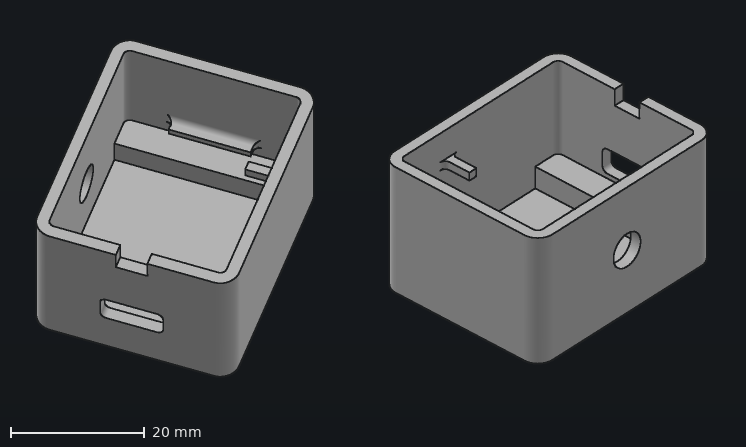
import cadquery as cq

width = 32.0
length = 39.0
height = 23.0
wall = 2.0
outer_radius = 3.0
inner_radius = 1.0
floor = 2.0
inner_width = width - 2 * wall
inner_length = length - 2 * wall

step_depth = 5.0
step_height = 3.98
step_top = floor + step_height

notch_width = 5.0
notch_depth = 3.0
slot_width = 10.0
slot_height = 4.5
slot_centre_z = 9.1
slot_radius = 1.0
side_hole_diameter = 6.0

root_radius = 1.0
ledge_width = 13.0
ledge_depth = 2.0
ledge_bottom = 8.0
ledge_thickness = 1.0
tab_length = 5.0
tab_width = 1.55
tab_thickness = 1.5
tab_centre_y = 6.75
tab_bottom = 16.22


def flared_outline(plane, root_width, reach):
    """Strip growing along local +Y, widened by a concave arc on each side of its root."""
    half = root_width / 2
    arc_offset = root_radius * (1 - 0.5 ** 0.5)
    return (
        plane.moveTo(-half - root_radius, 0)
        .threePointArc((-half - arc_offset, arc_offset), (-half, root_radius))
        .lineTo(-half, reach)
        .lineTo(half, reach)
        .lineTo(half, root_radius)
        .threePointArc((half + arc_offset, arc_offset), (half + root_radius, 0))
        .close()
    )


def make_shell():
    body = cq.Workplane("XY").box(width, length, height, centered=(True, True, False))
    body = body.edges("|Z").fillet(outer_radius)
    cavity = (
        cq.Workplane("XY", origin=(0, 0, floor))
        .box(inner_width, inner_length, height, centered=(True, True, False))
        .edges("|Z")
        .fillet(inner_radius)
    )
    step_gap = inner_length - 2 * step_depth
    channel = cq.Workplane("XY").box(width, step_gap, step_top, centered=(True, True, False))
    upper_space = cq.Workplane("XY", origin=(0, 0, step_top)).box(
        width, length, height, centered=(True, True, False)
    )
    return body.cut(cavity.intersect(channel.union(upper_space)))


def make_notch():
    return cq.Workplane("XY").box(notch_width, wall, 2 * notch_depth).translate(
        (0, (wall - length) / 2, height)
    )


def make_slot():
    return (
        cq.Workplane("XY")
        .box(slot_width, wall, slot_height)
        .edges("|Y")
        .fillet(slot_radius)
        .translate((0, (wall - length) / 2, slot_centre_z))
    )


def make_side_hole():
    return (
        cq.Workplane("YZ", origin=(-width / 2, 0, height / 2))
        .circle(side_hole_diameter / 2)
        .extrude(wall)
    )


def make_ledge():
    """Ledge on the rear wall, with its top and side root arcs meeting in mitres."""
    wall_y = inner_length / 2
    top = ledge_bottom + ledge_thickness
    plan_plane = cq.Plane(origin=(0, wall_y, ledge_bottom), xDir=(-1, 0, 0), normal=(0, 0, 1))
    plan = flared_outline(cq.Workplane(plan_plane), ledge_width, ledge_depth)
    plan_solid = plan.extrude(ledge_thickness + root_radius)
    profile = (
        cq.Workplane("YZ", origin=(-inner_width / 2, 0, 0))
        .moveTo(wall_y, ledge_bottom)
        .lineTo(wall_y - ledge_depth, ledge_bottom)
        .lineTo(wall_y - ledge_depth, top)
        .lineTo(wall_y - root_radius, top)
        .radiusArc((wall_y, top + root_radius), -root_radius)
        .close()
        .extrude(inner_width)
    )
    return plan_solid.intersect(profile)


def make_tab():
    tab_plane = cq.Plane(
        origin=(inner_width / 2, tab_centre_y, tab_bottom), xDir=(0, 1, 0), normal=(0, 0, 1)
    )
    return flared_outline(cq.Workplane(tab_plane), tab_width, tab_length).extrude(tab_thickness)


result = make_shell().cut(make_notch()).cut(make_slot()).cut(make_side_hole())
result = result.union(make_ledge()).union(make_tab())